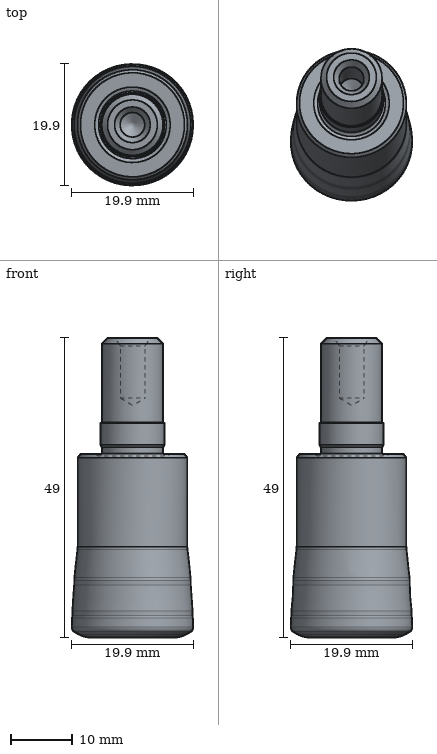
import cadquery as cq
import math

total_height = 49.0
split_z = 14.9
shoulder_z = 30.05

stud_radius = 10.0 / 2
stud_chamfer = 0.95
collar_radius = 10.5 / 2
collar_top_z = 35.2
collar_top_chamfer = 0.1
collar_bottom_z = 31.5
collar_bottom_taper = 0.4

shank_radius = 18.0 / 2
shoulder_chamfer_width = 0.5
shoulder_chamfer_height = 0.6
root_fillet = 0.55
recess_depth = 0.3
recess_radius = 6.15

hole_radius = 4.0 / 2
hole_depth = 9.8
hole_mouth_radius = 5.85 / 2
hole_mouth_depth = 1.25
hole_mouth_bulge = 0.075
drill_tip_angle = 118.0

upper_taper_radius = 9.0
upper_taper_z = 14.45
waist_radius = 19.1 / 2
bulge_bottom_radius = 9.5
bulge_bottom_z = 9.9
bulge_height = 0.025
waist_top_z = 9.4
waist_bottom_z = 8.65
lower_band_radius = 9.85
lower_band_top_z = 4.4
lower_band_bottom_z = 3.68
edge_taper_radius = 9.9
edge_taper_z = 3.25
edge_radius = 19.9 / 2
edge_z = 1.75

corner_radius = 9.65
corner_z = 1.05
face_arc_radius = 8.9
face_arc_z = 0.6
flat_radius = 6.75


def revolve_about_z(profile):
    """Close a half profile drawn as (radius, z) and turn it about the Z axis."""
    return profile.close().revolve(360, (0, 0, 0), (0, 1, 0))


def make_center_hole():
    """Blind drilled hole with a rounded mouth and a conical tip."""
    mouth_z = total_height - hole_mouth_depth
    hole_bottom_z = total_height - hole_depth
    tip_height = hole_radius / math.tan(math.radians(drill_tip_angle / 2))
    mouth_mid_radius = (hole_radius + hole_mouth_radius) / 2 - hole_mouth_bulge
    mouth_mid_z = (mouth_z + total_height) / 2 - hole_mouth_bulge
    profile = (
        cq.Workplane("XZ")
        .moveTo(0, total_height)
        .lineTo(hole_mouth_radius, total_height)
        .threePointArc((mouth_mid_radius, mouth_mid_z), (hole_radius, mouth_z))
        .lineTo(hole_radius, hole_bottom_z)
        .lineTo(0, hole_bottom_z - tip_height)
    )
    return revolve_about_z(profile)


def make_shank():
    """Cylindrical shank with the stud on top."""
    root_z = shoulder_z - recess_depth
    fillet_center_radius = stud_radius + root_fillet
    fillet_center_z = root_z + root_fillet
    fillet_offset = root_fillet * math.sqrt(0.5)
    profile = (
        cq.Workplane("XZ")
        .moveTo(0, split_z)
        .lineTo(shank_radius, split_z)
        .lineTo(shank_radius, shoulder_z - shoulder_chamfer_height)
        .lineTo(shank_radius - shoulder_chamfer_width, shoulder_z)
        .lineTo(recess_radius, shoulder_z)
        .lineTo(fillet_center_radius, root_z)
        .threePointArc(
            (fillet_center_radius - fillet_offset, fillet_center_z - fillet_offset),
            (stud_radius, fillet_center_z),
        )
        .lineTo(stud_radius, collar_bottom_z - collar_bottom_taper)
        .lineTo(collar_radius, collar_bottom_z)
        .lineTo(collar_radius, collar_top_z - collar_top_chamfer)
        .lineTo(stud_radius, collar_top_z)
        .lineTo(stud_radius, total_height - stud_chamfer)
        .lineTo(stud_radius - stud_chamfer, total_height)
        .lineTo(0, total_height)
    )
    return revolve_about_z(profile).cut(make_center_hole())


def make_cutting_head():
    """Flared head with a waist band, a lower band and a rounded lower edge."""
    bulge_mid_radius = (upper_taper_radius + bulge_bottom_radius) / 2 + bulge_height
    bulge_mid_z = (upper_taper_z + bulge_bottom_z) / 2
    profile = (
        cq.Workplane("XZ")
        .moveTo(0, split_z)
        .lineTo(shank_radius, split_z)
        .lineTo(upper_taper_radius, upper_taper_z)
        .threePointArc((bulge_mid_radius, bulge_mid_z), (bulge_bottom_radius, bulge_bottom_z))
        .lineTo(waist_radius, waist_top_z)
        .lineTo(waist_radius, waist_bottom_z)
        .lineTo(lower_band_radius, lower_band_top_z)
        .lineTo(lower_band_radius, lower_band_bottom_z)
        .lineTo(edge_taper_radius, edge_taper_z)
        .lineTo(edge_radius, edge_z)
        .tangentArcPoint((corner_radius, corner_z), relative=False)
        .lineTo(face_arc_radius, face_arc_z)
        .tangentArcPoint((flat_radius, 0), relative=False)
        .lineTo(0, 0)
    )
    return revolve_about_z(profile)


shank = make_shank()
cutting_head = make_cutting_head()

result = cq.Compound.makeCompound([shank.val(), cutting_head.val()])